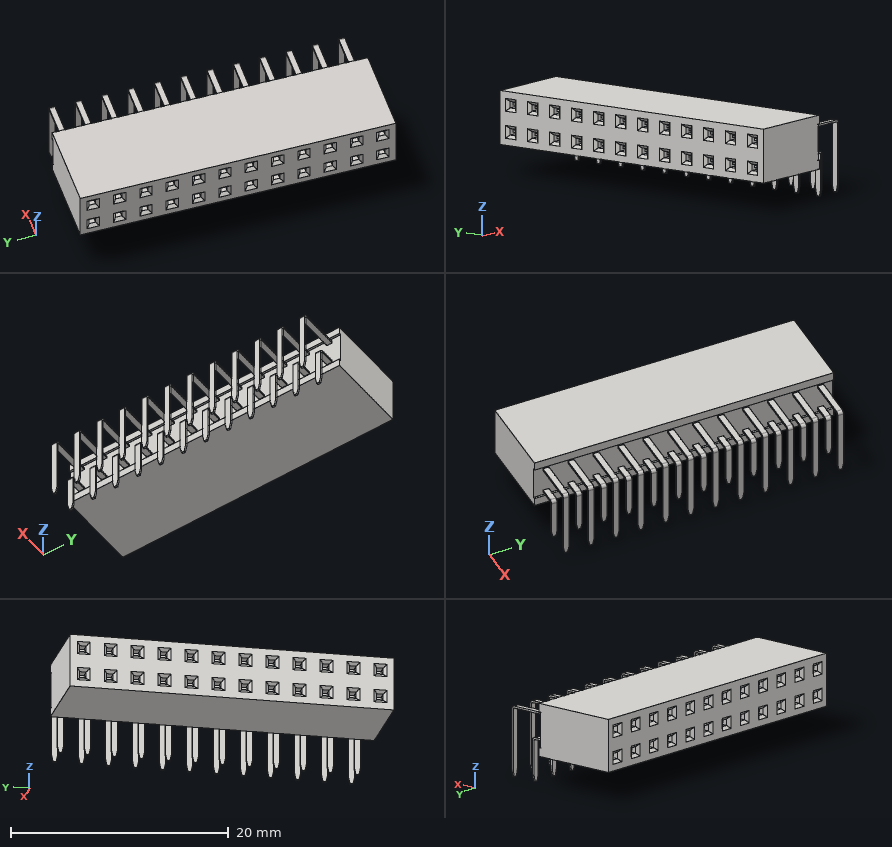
import cadquery as cq

pin_columns = 12
body_length = 30.48
pitch = body_length / pin_columns
body_depth = 8.5
body_height = 2 * pitch

channel_depth = 0.198
channel_lip = 0.85

hole_size = 0.6
hole_depth = 3.05
mouth_depth = 0.295
mouth_size = hole_size + 2 * mouth_depth

pin_width = hole_size
pin_thickness = 0.198
pin_start = 0.73
bend_radius = 0.3
pin_drop = 2.9
tip_length = 0.67
tip_width = 0.3
leg_standoff = 1.52

column_places = [(i - (pin_columns - 1) / 2) * pitch for i in range(pin_columns)]

lower_row = (pitch / 2, body_depth + leg_standoff)
upper_row = (lower_row[0] + pitch, lower_row[1] + pitch)


def make_body():
    """Housing block with the channel cut along its pin side."""
    far_lip = body_height - channel_lip
    channel_floor = body_depth - channel_depth
    profile = (
        cq.Workplane("XZ")
        .moveTo(0, 0)
        .lineTo(body_depth, 0)
        .lineTo(body_depth, channel_lip)
        .lineTo(channel_floor, channel_lip)
        .lineTo(channel_floor, far_lip)
        .lineTo(body_depth, far_lip)
        .lineTo(body_depth, body_height)
        .lineTo(0, body_height)
        .close()
    )
    return profile.extrude(body_length / 2, both=True)


def make_socket(y, z):
    """Space to remove for one socket: tapered mouth plus square hole."""
    face = cq.Workplane("YZ", origin=(0, y, z))
    mouth = (
        face.rect(mouth_size, mouth_size)
        .workplane(offset=mouth_depth)
        .rect(hole_size, hole_size)
        .loft(ruled=True)
    )
    hole = face.rect(hole_size, hole_size).extrude(hole_depth)
    return mouth.union(hole)


def make_pin(y, z, leg_x):
    """Strip bent downward, its leg narrowing in width to a blunt tip."""
    top = z + pin_thickness / 2
    bottom = top - pin_thickness
    outer = leg_x + pin_thickness / 2
    inner = outer - pin_thickness
    bend_x = outer - bend_radius
    bend_z = top - bend_radius
    strip = (
        cq.Workplane("XZ", origin=(0, y, 0))
        .moveTo(pin_start, top)
        .lineTo(bend_x, top)
        .radiusArc((outer, bend_z), bend_radius)
        .lineTo(outer, -pin_drop)
        .lineTo(inner, -pin_drop)
        .lineTo(inner, bend_z)
        .radiusArc((bend_x, bottom), pin_thickness - bend_radius)
        .lineTo(pin_start, bottom)
        .close()
        .extrude(pin_width / 2, both=True)
    )
    tip_taper = (pin_width - tip_width) / 2
    return strip.faces("<Z").edges("|X").chamfer(tip_length, tip_taper)


result = make_body()
for row_z, row_leg_x in (lower_row, upper_row):
    for column_y in column_places:
        result = result.cut(make_socket(column_y, row_z))
        result = result.union(make_pin(column_y, row_z, row_leg_x))